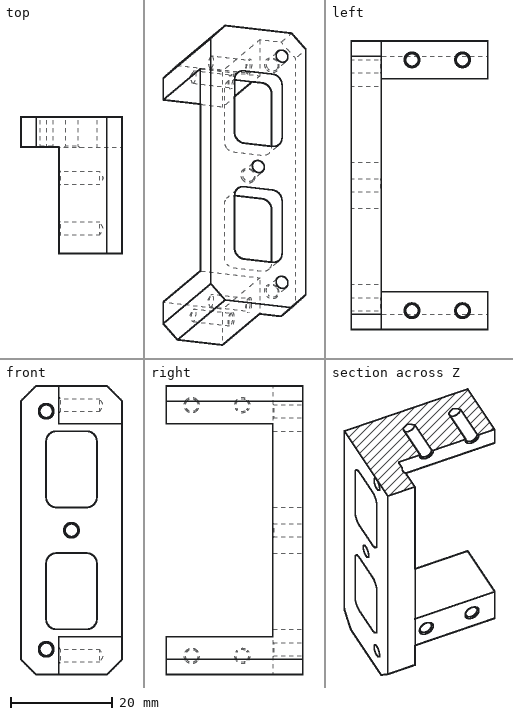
import cadquery as cq
import math

width = 20.0
depth = 27.0
height = 57.0

plate_thickness = 6.0
corner_chamfer = 3.0

arm_width = 12.5
arm_height = 7.5

window_width = 10.0
window_height = 15.0
window_radius = 2.0
window_offset = 12.0

hole_diameter = 2.5
mouth_diameter = 3.0
mouth_depth = (mouth_diameter - hole_diameter) / 2
plate_hole_inset = 5.0
plate_hole_offset = 23.5
arm_hole_depth = 8.0
arm_hole_inset = 5.0
arm_hole_spacing = 10.0
drill_point_angle = 118.0

ends = (-1, 1)
arm_left_x = width / 2 - arm_width
arm_center_z = (height - arm_height) / 2


def make_body():
    """Plate with two arms, bevelled along the four outer corners."""
    body = cq.Workplane("XY").box(width, depth, height).translate((0, -depth / 2, 0))
    body = body.edges("|Y").chamfer(corner_chamfer)
    plate = body.intersect(
        cq.Workplane("XY").box(width, plate_thickness, height).translate((0, -plate_thickness / 2, 0))
    )
    arm_center_x = width / 2 - arm_width / 2
    for end in ends:
        arm_block = (
            cq.Workplane("XY")
            .box(arm_width, depth, arm_height)
            .translate((arm_center_x, -depth / 2, end * arm_center_z))
        )
        plate = plate.union(body.intersect(arm_block))
    return plate


def make_window(center_z):
    """Rounded rectangular cutter through the plate."""
    return (
        cq.Workplane("XY")
        .box(window_width, plate_thickness, window_height)
        .edges("|Y")
        .fillet(window_radius)
        .translate((0, -plate_thickness / 2, center_z))
    )


def make_drill(mouth, direction, length, tip_length=0.0):
    """Drill cutter with a bevelled mouth and an optional conical tip."""
    radius = hole_diameter / 2
    profile = (
        cq.Workplane("XY")
        .lineTo(mouth_diameter / 2, 0)
        .lineTo(radius, mouth_depth)
        .lineTo(radius, length)
        .lineTo(0, length + tip_length)
        .close()
    )
    cutter = profile.revolve(360, (0, 0, 0), (0, 1, 0))
    if direction == "X":
        cutter = cutter.rotate((0, 0, 0), (0, 0, 1), -90)
    return cutter.translate(mouth)


result = make_body()

for end in ends:
    result = result.cut(make_window(end * window_offset))

outer_hole_x = -width / 2 + plate_hole_inset
plate_holes = [(0, 0)] + [(outer_hole_x, end * plate_hole_offset) for end in ends]
for x, z in plate_holes:
    result = result.cut(make_drill((x, -plate_thickness, z), "Y", plate_thickness))

tip_length = hole_diameter / 2 / math.tan(math.radians(drill_point_angle / 2))
front_hole_y = -depth + arm_hole_inset
for end in ends:
    for y in (front_hole_y, front_hole_y + arm_hole_spacing):
        mouth = (arm_left_x, y, end * arm_center_z)
        result = result.cut(make_drill(mouth, "X", arm_hole_depth, tip_length))